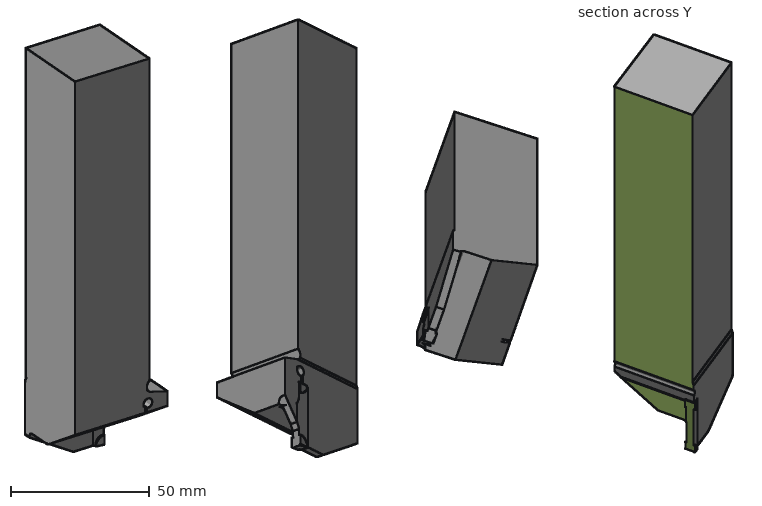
import cadquery as cq

total_length = 170.0
shank_left = 1.0
shank_right = 33.0
shank_back = 32.3
side_taper = 0.3

head_left = 0.5
blade_right = 3.5
step_bottom = 34.0
step_top = 35.5
head_back = 40.1
head_ramp_low = 32.3
head_ramp_high = 34.0
head_ramp_start = 33.5
bulk_bottom = 14.6
bulk_flat_end = 15.1
bulk_rise_top = 26.4
blade_fillet = 1.4
nose_bottom = 1.0
nose_end = 19.0
nose_slope_top = 12.4
neck_top = 38.8
neck_depth = 1.2
jaw_tip_z = 9.0
jaw_slope_top = 17.3
jaw_fillet = 1.7

relief_y = 31.6
relief_z = 30.0
relief_radius = 1.9
slit_low_y = 30.3
slit_high_y = 31.3

insert_length = 25.5
insert_seat = 27.5
insert_waist = 33.5
insert_rake = shank_back
insert_middle = insert_length / 2
waist_half = insert_middle - jaw_tip_z
waist_ramp_half = insert_middle - 6.6
end_relief = 0.8
tip_width = 4.0
tip_height = 4.2
tip_depth = 3.7
tip_bulge_y = 2.5
tip_bulge_z = 3.4
tip_chamfer = 0.5


def side_solid(outline, left, right):
    """Extrude a YZ outline from X = left to X = right."""
    return outline.extrude(right - left).translate((left, 0, 0))


def make_insert_tip():
    """Wide cutting tip at the lower end, bounded inside by an arc."""
    inner_y = insert_rake - tip_depth
    bottom_z = end_relief * tip_depth / (insert_rake - insert_seat)
    arc_middle = (insert_rake - tip_bulge_y, tip_bulge_z)
    outline = (
        cq.Workplane("YZ")
        .moveTo(insert_rake, 0)
        .lineTo(insert_rake, tip_height)
        .threePointArc(arc_middle, (inner_y, bottom_z))
        .close()
    )
    tip = side_solid(outline, 0, tip_width)
    corner_outline = [(tip_chamfer, 0), (tip_width - tip_chamfer, 0), (tip_width, tip_chamfer),
                      (tip_width, tip_height), (0, tip_height), (0, tip_chamfer)]
    corners = cq.Workplane("XZ").polyline(corner_outline).close().extrude(-head_back)
    return tip.intersect(corners)


def make_insert():
    outline = cq.Workplane("YZ").polyline([
        (insert_seat, end_relief),
        (insert_rake, 0),
        (insert_rake, insert_middle - waist_ramp_half),
        (insert_waist, insert_middle - waist_half),
        (insert_waist, insert_middle + waist_half),
        (insert_rake, insert_middle + waist_ramp_half),
        (insert_rake, insert_length),
        (insert_seat, insert_length - end_relief),
    ]).close()
    body = side_solid(outline, head_left, blade_right)
    lower_tip = make_insert_tip()
    upper_tip = lower_tip.mirror("XY", (0, 0, insert_middle))
    return body.union(lower_tip).union(upper_tip)


def make_side_profile():
    """Silhouette in YZ of the shank, neck, head and nose."""
    slope_run = (head_back - insert_waist) / (jaw_slope_top - jaw_tip_z)
    slope_end = insert_waist + slope_run * (bulk_bottom - jaw_tip_z)
    outline = (
        cq.Workplane("YZ")
        .moveTo(0, total_length)
        .lineTo(0, nose_slope_top)
        .lineTo(nose_end, nose_bottom)
        .lineTo(insert_seat, nose_bottom)
        .lineTo(insert_seat, jaw_tip_z)
        .lineTo(insert_waist, jaw_tip_z)
        .lineTo(slope_end, bulk_bottom)
        .lineTo(head_back, bulk_bottom)
        .lineTo(head_back, head_ramp_low)
        .lineTo(head_ramp_start, head_ramp_high)
        .threePointArc((shank_back - neck_depth, (neck_top + head_ramp_high) / 2),
                       (shank_back, neck_top))
        .lineTo(shank_back, total_length)
        .close()
    )
    return side_solid(outline, head_left, shank_right)


def make_front_profile():
    """Silhouette in XZ with the side step and the rising underside."""
    outline = cq.Workplane("XZ").polyline([
        (shank_left, total_length),
        (shank_left, step_top),
        (head_left, step_bottom),
        (head_left, 0),
        (blade_right, 0),
        (blade_right, bulk_bottom),
        (bulk_flat_end, bulk_bottom),
        (shank_right, bulk_rise_top),
        (shank_right, total_length),
    ]).close()
    solid = outline.extrude(-head_back)
    inner_corner = cq.selectors.NearestToPointSelector((blade_right, head_back / 2, bulk_bottom))
    return solid.edges(inner_corner).fillet(blade_fillet)


def make_taper():
    """Wedge removed from the +X side."""
    return (
        cq.Workplane("XY")
        .polyline([(shank_right - side_taper, 0), (shank_right, 0), (shank_right, head_back)])
        .close()
        .extrude(total_length)
    )


def make_jaw_slope():
    """Wedge removed below the jaw, rounded where it meets the thick head."""
    outline = cq.Workplane("YZ").polyline([
        (insert_waist, jaw_tip_z),
        (head_back, jaw_slope_top),
        (head_back, jaw_tip_z),
    ]).close()
    wedge = side_solid(outline, head_left, blade_right)
    slope_middle = ((insert_waist + head_back) / 2, (jaw_tip_z + jaw_slope_top) / 2)
    inner_edge = cq.selectors.NearestToPointSelector((blade_right, *slope_middle))
    return wedge.edges(inner_edge).fillet(jaw_fillet)


def make_clamp_slit():
    """Round relief hole with a slit down to the insert."""
    hole = cq.Workplane("YZ").center(relief_y, relief_z).circle(relief_radius)
    slit_bottom = insert_length - end_relief
    slit = (
        cq.Workplane("YZ")
        .moveTo(slit_low_y, slit_bottom)
        .lineTo(slit_high_y, slit_bottom)
        .lineTo(slit_high_y, relief_z)
        .lineTo(slit_low_y, relief_z)
        .close()
    )
    return side_solid(hole, 0, shank_right).union(side_solid(slit, 0, shank_right))


insert = make_insert()

holder = (
    make_side_profile()
    .intersect(make_front_profile())
    .cut(make_taper())
    .cut(make_jaw_slope())
    .cut(make_clamp_slit())
    .cut(insert)
)

result = cq.Compound.makeCompound([holder.val(), insert.val()])